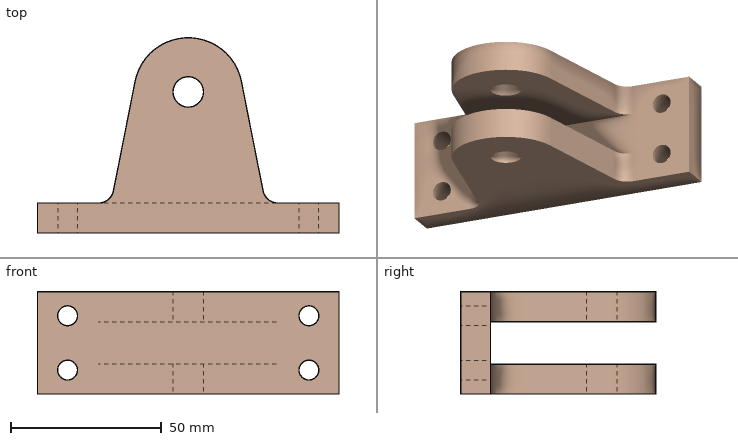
import cadquery as cq
import math

plate_width = 100.0
plate_thickness = 10.0
plate_height = 34.0

mount_hole_diameter = 6.5
mount_hole_spacing_x = 80.0
mount_hole_spacing_z = 18.0

overall_depth = 64.8
lug_thickness = 10.0
lug_tip_radius = 18.0
lug_side_angle = math.radians(11.2)
root_fillet_radius = 5.0
pin_hole_diameter = 10.0

pin_y = overall_depth - lug_tip_radius
lug_bottoms = (-plate_height / 2, plate_height / 2 - lug_thickness)


def make_plate():
    plate = cq.Workplane("XY").box(
        plate_width, plate_thickness, plate_height, centered=(True, False, True)
    )
    holes = (
        cq.Workplane("XZ")
        .rect(mount_hole_spacing_x, mount_hole_spacing_z, forConstruction=True)
        .vertices()
        .circle(mount_hole_diameter / 2)
        .extrude(-plate_thickness)
    )
    return plate.cut(holes)


def make_lug(bottom_z):
    """Tapered lug with a round tip, tangent sides and filleted roots."""
    lean_sin = math.sin(lug_side_angle)
    lean_cos = math.cos(lug_side_angle)

    tip_x = lug_tip_radius * lean_cos
    tip_y = pin_y + lug_tip_radius * lean_sin

    fillet_y = plate_thickness + root_fillet_radius
    center_distance = lug_tip_radius + root_fillet_radius
    fillet_x = (center_distance + (pin_y - fillet_y) * lean_sin) / lean_cos
    side_x = fillet_x - root_fillet_radius * lean_cos
    side_y = fillet_y - root_fillet_radius * lean_sin

    mid_angle = (math.pi / 2 + lug_side_angle) / 2
    mid_x = fillet_x - root_fillet_radius * math.cos(mid_angle)
    mid_y = fillet_y - root_fillet_radius * math.sin(mid_angle)

    return (
        cq.Workplane("XY", origin=(0, 0, bottom_z))
        .moveTo(-fillet_x, 0)
        .lineTo(fillet_x, 0)
        .lineTo(fillet_x, plate_thickness)
        .threePointArc((mid_x, mid_y), (side_x, side_y))
        .lineTo(tip_x, tip_y)
        .threePointArc((0, overall_depth), (-tip_x, tip_y))
        .lineTo(-side_x, side_y)
        .threePointArc((-mid_x, mid_y), (-fillet_x, plate_thickness))
        .close()
        .moveTo(0, pin_y)
        .circle(pin_hole_diameter / 2)
        .extrude(lug_thickness)
    )


result = make_plate()
for lug_bottom in lug_bottoms:
    result = result.union(make_lug(lug_bottom))
result = result.clean()